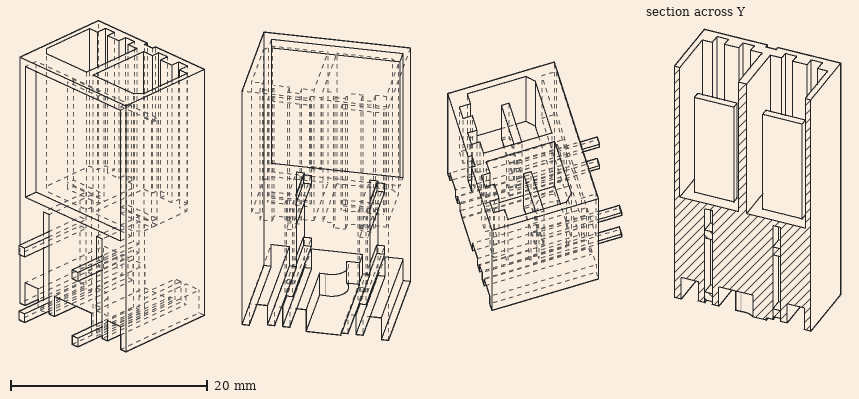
import cadquery as cq
import math


height = 28.3
depth = 11.38
width = 15.25
pole_pitch = width / 2
pole_right = pole_pitch / 2
pole_centres = (-pole_right, pole_right)

cavity_side_wall = 0.62
cavity_front_wall = 2.45
centre_wall = 0.93
cavity_corner = 0.75
outer_rear_wall = 1.9
inner_rear_wall = 1.6
tab_rear_wall = 1.7
key_rear_wall = 0.7
key_span = 4.15
tab_width = 1.6

recess_wall = 0.8
recess_depth = 1.58
recess_bottom = 12.48

groove_width = 1.15
groove_depth = 0.4
groove_height = 8.5

foot_height = 2.63
side_foot = 0.75
post_width = 2.32
post_bottom = 0.28
block_left = -0.95
block_front = 1.58
bore_radius = 1.7
bore_opening = 1.3
bore_relief = -0.37

leg_width = 0.82
leg_height = 1.02
lower_leg_bottom = 0.62
leg_pitch = 7.55
leg_length = 3.55
slot_top = 11.75
blade_width = 4.41
blade_thickness = 0.82
blade_front = 5.32
blade_top = 24.05

cavity_floor = recess_bottom
blade_back = blade_front + blade_thickness
post_inner = pole_right - post_width / 2
post_outer = pole_right + post_width / 2


def box(x_min, x_max, y_min, y_max, z_min, z_max):
    """Box between opposite corners."""
    return (
        cq.Workplane("XY")
        .box(x_max - x_min, y_max - y_min, z_max - z_min, centered=False)
        .translate((x_min, y_min, z_min))
    )


def right_cavity():
    """Plug cavity of the right pole, with two keyways beside a tab in its rear wall."""
    inner = centre_wall / 2
    outer = width / 2 - cavity_side_wall
    key_inner = pole_right - key_span / 2
    key_outer = pole_right + key_span / 2
    tab_inner = pole_right - tab_width / 2
    tab_outer = pole_right + tab_width / 2
    key_back = depth - key_rear_wall
    tab_front = depth - tab_rear_wall
    inner_back = depth - inner_rear_wall
    outer_back = depth - outer_rear_wall
    outline = [
        (inner, cavity_front_wall),
        (outer - cavity_corner, cavity_front_wall),
        (outer, cavity_front_wall + cavity_corner),
        (outer, outer_back),
        (key_outer, outer_back),
        (key_outer, key_back),
        (tab_outer, key_back),
        (tab_outer, tab_front),
        (tab_inner, tab_front),
        (tab_inner, key_back),
        (key_inner, key_back),
        (key_inner, inner_back),
        (inner, inner_back),
    ]
    return (
        cq.Workplane("XY")
        .workplane(offset=cavity_floor)
        .polyline(outline)
        .close()
        .extrude(height - cavity_floor)
    )


def front_recess():
    """Shallow rectangular recess in the upper front face."""
    half = width / 2 - recess_wall
    return box(-half, half, 0, recess_depth, recess_bottom, height - recess_wall)


def rear_groove():
    """Groove running down from the top of the rear face."""
    half = groove_width / 2
    return box(-half, half, depth - groove_depth, depth, height - groove_height, height)


def foot_gaps():
    """Gaps through the bottom that leave the side feet, the two posts and the centre block."""
    side_inner = width / 2 - side_foot
    gaps = box(-post_inner, block_left, 0, depth, 0, foot_height)
    gaps = gaps.union(box(block_left, post_inner, 0, block_front, 0, foot_height))
    gaps = gaps.union(box(post_outer, side_inner, 0, depth, 0, foot_height))
    gaps = gaps.union(box(-side_inner, -post_outer, 0, depth, 0, foot_height))
    for centre in pole_centres:
        half = post_width / 2
        gaps = gaps.union(box(centre - half, centre + half, 0, depth, 0, post_bottom))
    return gaps


def centre_bore():
    """Round bore in the centre block, opened to the front and to the left."""
    bore_y = block_front + math.sqrt(bore_radius**2 - bore_opening**2)
    relief_back = bore_y + math.sqrt(bore_radius**2 - bore_relief**2)
    bore = cq.Workplane("XY").center(0, bore_y).circle(bore_radius).extrude(foot_height)
    front_opening = box(block_left, 0, block_front, relief_back, 0, foot_height)
    throat = box(0, bore_opening, block_front, bore_y, 0, foot_height)
    return bore.union(front_opening).union(throat)


def contact_slot(centre):
    """Slot that holds the legs, reaching in to the blade and running through below the post top."""
    half = leg_width / 2
    slot = box(centre - half, centre + half, 0, blade_back, 0, slot_top)
    return slot.union(box(centre - half, centre + half, 0, depth, 0, foot_height))


def blade_hole(centre):
    """Hole for the blade between the leg slot and the cavity floor."""
    half = blade_width / 2
    return box(centre - half, centre + half, blade_front, blade_back, slot_top, cavity_floor)


def make_housing():
    """Housing block with its cavities, recesses, feet and contact holes."""
    body = box(-width / 2, width / 2, 0, depth, 0, height)
    cavity = right_cavity()
    body = body.cut(cavity).cut(cavity.mirror("YZ"))
    body = body.cut(front_recess()).cut(rear_groove())
    body = body.cut(foot_gaps()).cut(centre_bore())
    for centre in pole_centres:
        body = body.cut(contact_slot(centre)).cut(blade_hole(centre))
    return body


def make_contact(centre):
    """Flat blade on a stem, with two solder legs that stick out of the front face."""
    half_leg = leg_width / 2
    half_blade = blade_width / 2
    left = centre - half_leg
    right = centre + half_leg
    contact = box(left, right, blade_front, blade_back, lower_leg_bottom, slot_top)
    contact = contact.union(
        box(centre - half_blade, centre + half_blade, blade_front, blade_back, slot_top, blade_top)
    )
    for bottom in (lower_leg_bottom, lower_leg_bottom + leg_pitch):
        contact = contact.union(box(left, right, -leg_length, blade_back, bottom, bottom + leg_height))
    return contact


housing = make_housing()
contacts = [make_contact(centre) for centre in pole_centres]

result = cq.Compound.makeCompound([housing.val(), *[contact.val() for contact in contacts]])